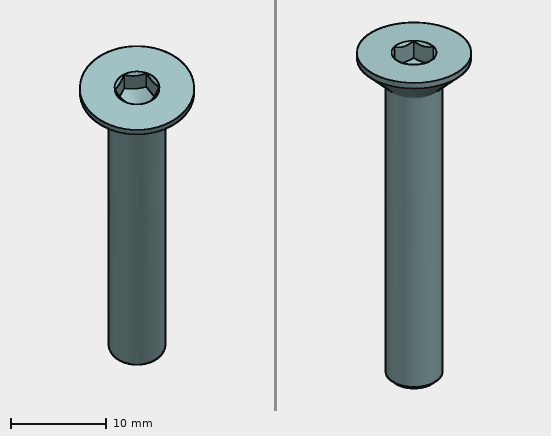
import cadquery as cq
import math

TOTAL_LENGTH = 40.0
SHANK_RADIUS = 6.0 / 2
THREAD_LENGTH = 24.0
TIP_CHAMFER = 0.6
NECK_FILLET = 0.15

HEAD_RADIUS = 12.0 / 2
RIM_HEIGHT = 0.7
CONE_HEIGHT = HEAD_RADIUS - SHANK_RADIUS
HEAD_HEIGHT = RIM_HEIGHT + CONE_HEIGHT

SOCKET_SIDES = 6
SOCKET_FLATS = 4.06
SOCKET_DEPTH = 2.3
SOCKET_CORNER_RADIUS = SOCKET_FLATS / 2 / math.cos(math.pi / SOCKET_SIDES)
MOUTH_RADIUS = 2.36
MOUTH_ANGLE = 45.0
FLOOR_ANGLE = 30.0
FLOOR_TIP_RADIUS = 0.3

TIP_Z = -TOTAL_LENGTH
THREAD_START_Z = TIP_Z + THREAD_LENGTH


def revolve_profile(points):
    """Solid of revolution about Z from (radius, z) points."""
    return cq.Workplane("XZ").polyline(points).close().revolve(360, (0, 0), (0, 1))


def make_body():
    """Head with plain shank, joined to the threaded length so that their seam edge stays."""
    head = revolve_profile([
        (0, 0),
        (HEAD_RADIUS, 0),
        (HEAD_RADIUS, -RIM_HEIGHT),
        (SHANK_RADIUS, -HEAD_HEIGHT),
        (SHANK_RADIUS, THREAD_START_Z),
        (0, THREAD_START_Z),
    ])
    neck_edge = cq.selectors.BoxSelector(
        (-HEAD_RADIUS, -HEAD_RADIUS, -HEAD_HEIGHT - NECK_FILLET),
        (HEAD_RADIUS, HEAD_RADIUS, -HEAD_HEIGHT + NECK_FILLET),
        boundingbox=True,
    )
    head = head.edges(neck_edge).fillet(NECK_FILLET)
    thread = revolve_profile([
        (0, THREAD_START_Z),
        (SHANK_RADIUS, THREAD_START_Z),
        (SHANK_RADIUS, TIP_Z + TIP_CHAMFER),
        (SHANK_RADIUS - TIP_CHAMFER, TIP_Z),
        (0, TIP_Z),
    ])
    return head.union(thread, clean=False)


def make_socket():
    """Hexagon recess with a conical floor that ends in a small flat."""
    floor_slope = math.tan(math.radians(FLOOR_ANGLE))
    corner_z = -SOCKET_DEPTH + (SOCKET_CORNER_RADIUS - SOCKET_FLATS / 2) * floor_slope
    floor_z = -SOCKET_DEPTH - (SOCKET_FLATS / 2 - FLOOR_TIP_RADIUS) * floor_slope
    envelope = revolve_profile([
        (0, 0),
        (SOCKET_CORNER_RADIUS, 0),
        (SOCKET_CORNER_RADIUS, corner_z),
        (FLOOR_TIP_RADIUS, floor_z),
        (0, floor_z),
    ])
    hexagon = cq.Workplane("XY").polygon(SOCKET_SIDES, 2 * SOCKET_CORNER_RADIUS).extrude(floor_z)
    return hexagon.intersect(envelope)


def make_mouth():
    """Conical chamfer that breaks the edge of the hexagon at the head face."""
    return revolve_profile([
        (0, 0),
        (MOUTH_RADIUS, 0),
        (0, -MOUTH_RADIUS * math.tan(math.radians(MOUTH_ANGLE))),
    ])


result = make_body().cut(make_socket(), clean=False).cut(make_mouth(), clean=False)